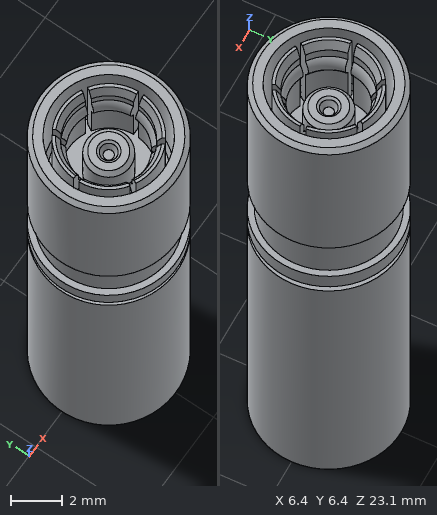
import cadquery as cq

body_radius = 3.2
total_height = 23.1
neck_radius = 2.92
lower_sleeve_top = 13.0
groove_radius = 2.95
collar_cone_height = 0.31
collar_bottom = lower_sleeve_top + collar_cone_height
collar_top = 14.07
neck_top = 16.13
rim_chamfer_width = 0.22
rim_chamfer_height = 0.18

socket_radius = 2.57
socket_floor_radius = 2.4
socket_slope_height = 0.2
socket_depth = 4.0
socket_floor = total_height - socket_depth

finger_count = 6
finger_outer_radius = 2.23
finger_tip_radius = 2.09
finger_inner_radius = 1.88
bead_radius = 1.67
finger_tip_depth = 0.1
finger_tip = total_height - finger_tip_depth
lead_in_height = 0.42
lead_in_bottom = finger_tip - lead_in_height
straight_height = 0.45
bead_half_height = 0.48
bead_top = lead_in_bottom - straight_height
bead_middle = bead_top - bead_half_height
bead_bottom = bead_middle - bead_half_height
bead_height = finger_inner_radius - bead_radius
bead_arc_radius = (bead_half_height**2 + bead_height**2) / (2 * bead_height)
slot_width = 0.25

contact_radius = 1.02
contact_chamfer = 0.2
contact_top_depth = 1.67
contact_top = total_height - contact_top_depth
contact_mouth_radius = 0.48
contact_mouth_slope_height = 0.1
contact_cone_radius = 0.37
contact_bore_floor_radius = 0.22
contact_bore_depth = 0.4


def revolve_about_z(profile):
    """Close an (r, z) profile and turn it about the Z axis."""
    return profile.close().revolve(360, (0, 0, 0), (0, 1, 0))


def outer_body():
    profile = (
        cq.Workplane("XZ")
        .lineTo(body_radius, 0)
        .lineTo(body_radius, lower_sleeve_top)
        .lineTo(groove_radius, lower_sleeve_top)
        .lineTo(body_radius, collar_bottom)
        .lineTo(body_radius, collar_top)
        .lineTo(neck_radius, collar_top)
        .lineTo(neck_radius, neck_top)
        .lineTo(body_radius, neck_top)
        .lineTo(body_radius, total_height - rim_chamfer_height)
        .lineTo(body_radius - rim_chamfer_width, total_height)
        .lineTo(0, total_height)
    )
    return revolve_about_z(profile)


def socket():
    profile = (
        cq.Workplane("XZ")
        .moveTo(0, socket_floor)
        .lineTo(socket_floor_radius, socket_floor)
        .lineTo(socket_radius, socket_floor + socket_slope_height)
        .lineTo(socket_radius, total_height)
        .lineTo(0, total_height)
    )
    return revolve_about_z(profile)


def spring_fingers():
    """A ring with a lead-in cone and a rounded inner bead, slotted into separate fingers."""
    profile = (
        cq.Workplane("XZ")
        .moveTo(finger_inner_radius, socket_floor)
        .lineTo(finger_outer_radius, socket_floor)
        .lineTo(finger_outer_radius, finger_tip)
        .lineTo(finger_tip_radius, finger_tip)
        .lineTo(finger_inner_radius, lead_in_bottom)
        .lineTo(finger_inner_radius, bead_top)
        .radiusArc((bead_radius, bead_middle), -bead_arc_radius)
        .radiusArc((finger_inner_radius, bead_bottom), -bead_arc_radius)
    )
    fingers = revolve_about_z(profile)
    slot = (
        cq.Workplane("XY", origin=(0, 0, socket_floor))
        .rect(2 * socket_radius, slot_width)
        .extrude(socket_depth)
    )
    for index in range(finger_count // 2):
        angle = index * 360 / finger_count
        fingers = fingers.cut(slot.rotate((0, 0, 0), (0, 0, 1), angle))
    return fingers


def centre_contact():
    bore_floor = contact_top - contact_bore_depth
    profile = (
        cq.Workplane("XZ")
        .moveTo(0, socket_floor)
        .lineTo(contact_radius, socket_floor)
        .lineTo(contact_radius, contact_top - contact_chamfer)
        .lineTo(contact_radius - contact_chamfer, contact_top)
        .lineTo(contact_mouth_radius, contact_top)
        .lineTo(contact_cone_radius, contact_top - contact_mouth_slope_height)
        .lineTo(contact_bore_floor_radius, bore_floor)
        .lineTo(0, bore_floor)
    )
    return revolve_about_z(profile)


result = outer_body().cut(socket()).union(spring_fingers()).union(centre_contact())